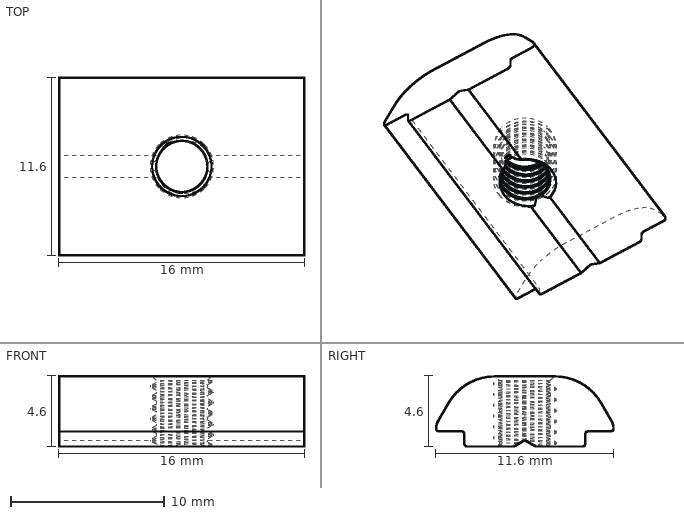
import cadquery as cq
import math

length = 16.0
width = 11.6
height = 4.6
stem_width = 7.9
stem_height = 1.0
crown_flat = 3.9
crown_radius = 3.5
flank_angle = math.radians(60)
shoulder_radius = 1.05
edge_radius = 0.2
root_radius = 0.18
notch_width = 1.44
notch_angle = math.radians(30)
notch_tip_radius = 0.16

bore_diameter = 3.33
countersink_diameter = 3.87
sink_depth = (countersink_diameter - bore_diameter) / 2
thread_diameter = 4.11
thread_pitch = 0.7
thread_crest = 0.16
thread_root = 0.08
thread_phase = 0.06
thread_overlap = 0.03


def mirrored(points):
    """Return the points reflected across the middle plane, in reverse order."""
    return [(-y, z) for y, z in reversed(points)]


def make_body():
    """Extrude the symmetric domed profile along the length."""
    half = width / 2
    crown_end = crown_flat / 2
    flank_top = (
        crown_end + crown_radius * math.sin(flank_angle),
        height - crown_radius * (1 - math.cos(flank_angle)),
    )
    crown_middle = (
        crown_end + crown_radius * math.sin(flank_angle / 2),
        height - crown_radius * (1 - math.cos(flank_angle / 2)),
    )
    shoulder = (half, flank_top[1] - (half - flank_top[0]) * math.tan(flank_angle))
    lower_right = [
        shoulder,
        (half, stem_height),
        (stem_width / 2, stem_height),
        (stem_width / 2, 0),
        (notch_width / 2, 0),
    ]
    notch_tip = (0, notch_width / 2 * math.tan(notch_angle))
    mirror_flank, mirror_crown = mirrored([crown_middle, flank_top])

    profile = cq.Workplane("YZ").moveTo(-crown_end, height).lineTo(crown_end, height)
    profile = profile.threePointArc(crown_middle, flank_top)
    for point in lower_right + [notch_tip] + mirrored(lower_right) + [mirror_flank]:
        profile = profile.lineTo(*point)
    profile = profile.threePointArc(mirror_crown, (-crown_end, height)).close()
    body = profile.extrude(length / 2, both=True)

    def round_edges(solid, places, radius):
        for y, z in places:
            solid = solid.edges(cq.NearestToPointSelector((0, y, z))).fillet(radius)
        return solid

    sides = (-1, 1)
    body = round_edges(body, [(side * shoulder[0], shoulder[1]) for side in sides], shoulder_radius)
    body = round_edges(body, [(side * half, stem_height) for side in sides], edge_radius)
    body = round_edges(body, [(side * stem_width / 2, stem_height) for side in sides], root_radius)
    body = round_edges(body, [(side * stem_width / 2, 0) for side in sides], edge_radius)
    return round_edges(body, [notch_tip], notch_tip_radius)


def make_bore():
    """Through bore with a 45 degree countersink at the top."""
    return (
        cq.Workplane("XZ")
        .lineTo(bore_diameter / 2, 0)
        .lineTo(bore_diameter / 2, height - sink_depth)
        .lineTo(countersink_diameter / 2, height)
        .lineTo(0, height)
        .close()
        .revolve(360, (0, 0), (0, 1))
    )


def make_thread():
    """Right-handed helical groove that stops just below the countersink."""
    inner_radius = bore_diameter / 2 - thread_overlap
    outer_radius = thread_diameter / 2
    mouth = thread_pitch - thread_crest
    start = thread_phase - thread_pitch
    path = cq.Wire.makeHelix(
        thread_pitch, height + 2 * thread_pitch, bore_diameter / 2, cq.Vector(0, 0, start)
    )
    groove = (
        cq.Workplane("XZ")
        .moveTo(inner_radius, start - mouth / 2)
        .lineTo(inner_radius, start + mouth / 2)
        .lineTo(outer_radius, start + thread_root / 2)
        .lineTo(outer_radius, start - thread_root / 2)
        .close()
        .sweep(path, isFrenet=True)
    )
    threaded_zone = cq.Workplane("XY").circle(thread_diameter).extrude(height - sink_depth)
    return groove.intersect(threaded_zone)


result = make_body().cut(make_bore()).cut(make_thread())